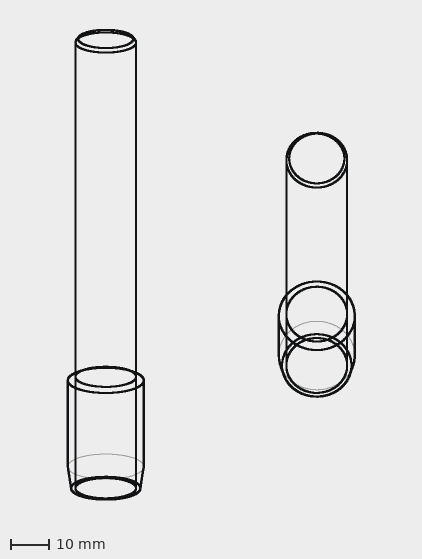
import cadquery as cq

total_height = 125.0
sleeve_diameter = 20.0
sleeve_straight_top = 30.0
pin_diameter = 16.0

pin_chamfer_width = 0.8
pin_chamfer_height = 1.0
sleeve_shoulder_height = 1.0
lead_in_height = 6.0
lead_in_inset = 0.9

pin_radius = pin_diameter / 2
sleeve_radius = sleeve_diameter / 2


def revolve_profile(profile):
    """Solid of revolution about Z from (radius, height) points."""
    return cq.Workplane("XZ").polyline(profile).close().revolve(360, (0, 0), (0, 1))


def make_pin():
    """Full-length round pin with a chamfered top edge."""
    return revolve_profile([
        (0, 0),
        (pin_radius, 0),
        (pin_radius, total_height - pin_chamfer_height),
        (pin_radius - pin_chamfer_width, total_height),
        (0, total_height),
    ])


def make_sleeve():
    """Sleeve around the pin's foot, with a tapered lead-in and a conical shoulder down from the pin."""
    return revolve_profile([
        (pin_radius, 0),
        (sleeve_radius - lead_in_inset, 0),
        (sleeve_radius, lead_in_height),
        (sleeve_radius, sleeve_straight_top),
        (pin_radius, sleeve_straight_top + sleeve_shoulder_height),
    ])


pin = make_pin()
sleeve = make_sleeve()

result = cq.Compound.makeCompound([pin.val(), sleeve.val()])